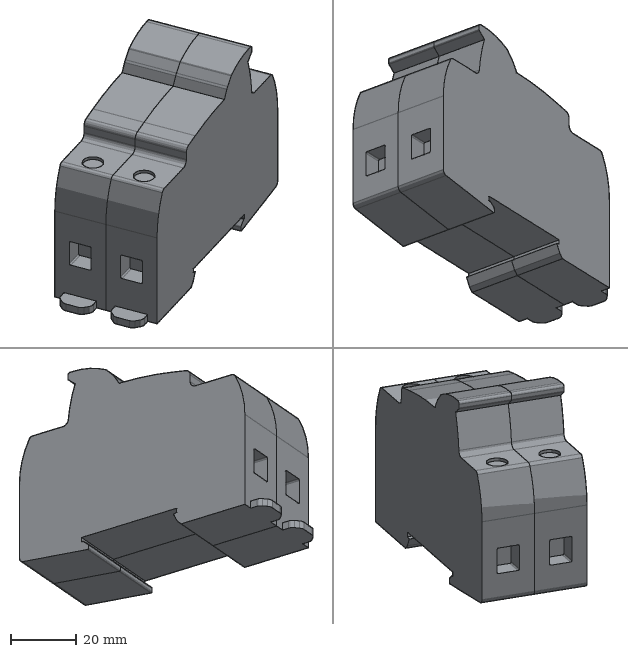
import cadquery as cq
import math


module_count = 2
module_width = 17.5
body_length = 83.1
deck_height = 46.1
end_arc_radius = 30.2
end_arc_base = 31.0
deck_edge_radius = 1.5

shoulder_y = 20.15
shoulder_radius = 1.95
top_height = 55.05
top_arc_radius = 108.3
top_arc_end_y = 26.3

handle_height = 64.0
handle_front_y = 46.35
handle_bend = (48.3, 58.2)
handle_bend_radius = 4.0
handle_crown_radius = 26.3
handle_crown_start_y = 63.2
handle_crown_end_y = 51.1
handle_crown_edge_radius = 0.9
nose_y = 65.3
nose_underside = 61.7
nose_top_radius = 0.9
nose_bottom_radius = 0.4
handle_neck = (62.6, 59.6)
handle_back_mid = (64.2, 53.8)
handle_back_foot_y = 65.3
handle_foot_radius = 1.95

rear_bottom_z = 3.9
rear_bottom_radius = 1.5
rail_rear_y = 60.2
rail_front_y = 25.2
rail_roof = 5.9
rail_lip_height = 4.4
hook_lip_y = 59.7
hook_tip_y = 57.6
hook_tip_top = 2.8
hook_tip_bottom = 1.1
hook_tip_radius = 0.35
catch_tip = (26.4, 4.1)
catch_bevel = 1.3
catch_foot_y = 23.5

screw_diameter = 6.6
screw_inset = 8.7
screw_depth = 1.0
wire_width = 7.4
wire_height = 8.4
wire_center_z = 17.2
wire_depth = 6.3
wire_corner_radius = 0.4

tab_width = 11.1
tab_length = 5.7
tab_thickness = 2.5
tab_chamfer = 2.5
tab_radius = 2.3


def drop(radius, run):
    """Fall of an arc below its level point after a horizontal run."""
    return radius - math.sqrt(radius**2 - run**2)


end_arc_rise = deck_height - end_arc_base
end_arc_inset = drop(end_arc_radius, end_arc_rise)
end_arc_mid_inset = drop(end_arc_radius, end_arc_rise / 2)
end_arc_mid_z = end_arc_base + end_arc_rise / 2

top_arc_run = handle_front_y - top_arc_end_y
top_arc_end_z = top_height - drop(top_arc_radius, top_arc_run)
top_arc_mid = (handle_front_y - top_arc_run / 2, top_height - drop(top_arc_radius, top_arc_run / 2))
top_slope = top_arc_run / math.sqrt(top_arc_radius**2 - top_arc_run**2)
shoulder_z = top_arc_end_z - top_slope * (top_arc_end_y - shoulder_y)

crown_run = handle_crown_start_y - handle_crown_end_y
crown_end = (handle_crown_end_y, handle_height - drop(handle_crown_radius, crown_run))
crown_mid = (
    handle_crown_start_y - crown_run / 2,
    handle_height - drop(handle_crown_radius, crown_run / 2),
)

rounded_corners = [
    (end_arc_inset, deck_height, deck_edge_radius),
    (shoulder_y, deck_height, shoulder_radius),
    (shoulder_y, shoulder_z, shoulder_radius),
    (*handle_bend, handle_bend_radius),
    (*crown_end, handle_crown_edge_radius),
    (nose_y, handle_height, nose_top_radius),
    (nose_y, nose_underside, nose_bottom_radius),
    (handle_back_foot_y, deck_height, handle_foot_radius),
    (body_length - end_arc_inset, deck_height, deck_edge_radius),
    (body_length, rear_bottom_z, rear_bottom_radius),
    (hook_tip_y, hook_tip_top, hook_tip_radius),
    (hook_tip_y, hook_tip_bottom, hook_tip_radius),
]


def make_housing():
    """Side outline extruded across one module, with its corners rounded."""
    housing = (
        cq.Workplane("YZ")
        .moveTo(0, 0)
        .lineTo(0, end_arc_base)
        .threePointArc((end_arc_mid_inset, end_arc_mid_z), (end_arc_inset, deck_height))
        .lineTo(shoulder_y, deck_height)
        .lineTo(shoulder_y, shoulder_z)
        .lineTo(top_arc_end_y, top_arc_end_z)
        .threePointArc(top_arc_mid, (handle_front_y, top_height))
        .lineTo(*handle_bend)
        .lineTo(*crown_end)
        .threePointArc(crown_mid, (handle_crown_start_y, handle_height))
        .lineTo(nose_y, handle_height)
        .lineTo(nose_y, nose_underside)
        .lineTo(*handle_neck)
        .threePointArc(handle_back_mid, (handle_back_foot_y, deck_height))
        .lineTo(body_length - end_arc_inset, deck_height)
        .threePointArc((body_length - end_arc_mid_inset, end_arc_mid_z), (body_length, end_arc_base))
        .lineTo(body_length, rear_bottom_z)
        .lineTo(hook_tip_y, hook_tip_bottom)
        .lineTo(hook_tip_y, hook_tip_top)
        .lineTo(hook_lip_y, rail_lip_height)
        .lineTo(rail_rear_y, rail_lip_height)
        .lineTo(rail_rear_y, rail_roof)
        .lineTo(rail_front_y, rail_roof)
        .lineTo(rail_front_y, rail_lip_height)
        .lineTo(*catch_tip)
        .lineTo(catch_foot_y + catch_bevel, catch_bevel)
        .lineTo(catch_foot_y, 0)
        .close()
        .extrude(module_width)
    )
    for y, z, radius in rounded_corners:
        corner = cq.selectors.NearestToPointSelector((module_width / 2, y, z))
        housing = housing.edges("|X").edges(corner).fillet(radius)
    return housing


def make_screw_recesses():
    """Shallow round recess in each terminal deck."""
    return (
        cq.Workplane("XY", origin=(module_width / 2, 0, deck_height))
        .pushPoints([(0, screw_inset), (0, body_length - screw_inset)])
        .circle(screw_diameter / 2)
        .extrude(-screw_depth)
    )


def make_wire_pockets():
    """Wire opening in the front face and its mirror image in the rear face."""
    front_pocket = (
        cq.Workplane("XY")
        .box(wire_width, wire_depth, wire_height, centered=(True, False, True))
        .edges("|Y")
        .fillet(wire_corner_radius)
        .translate((module_width / 2, 0, wire_center_z))
    )
    return front_pocket.union(front_pocket.mirror("XZ", (0, body_length / 2, 0)))


def make_tab():
    """Flat tab in front of the housing, its two outer corners cut off and rounded."""
    half_width = tab_width / 2
    return (
        cq.Workplane("XY", origin=(module_width / 2, 0, 0))
        .moveTo(-half_width, 0)
        .lineTo(-half_width, tab_chamfer - tab_length)
        .lineTo(tab_chamfer - half_width, -tab_length)
        .lineTo(half_width - tab_chamfer, -tab_length)
        .lineTo(half_width, tab_chamfer - tab_length)
        .lineTo(half_width, 0)
        .close()
        .extrude(tab_thickness)
        .edges("|Z and (not >Y)")
        .fillet(tab_radius)
    )


def make_module():
    """One complete breaker module."""
    return make_housing().cut(make_screw_recesses()).cut(make_wire_pockets()).union(make_tab())


modules = [make_module().translate((i * module_width, 0, 0)) for i in range(module_count)]

result = cq.Compound.makeCompound([module.val() for module in modules])